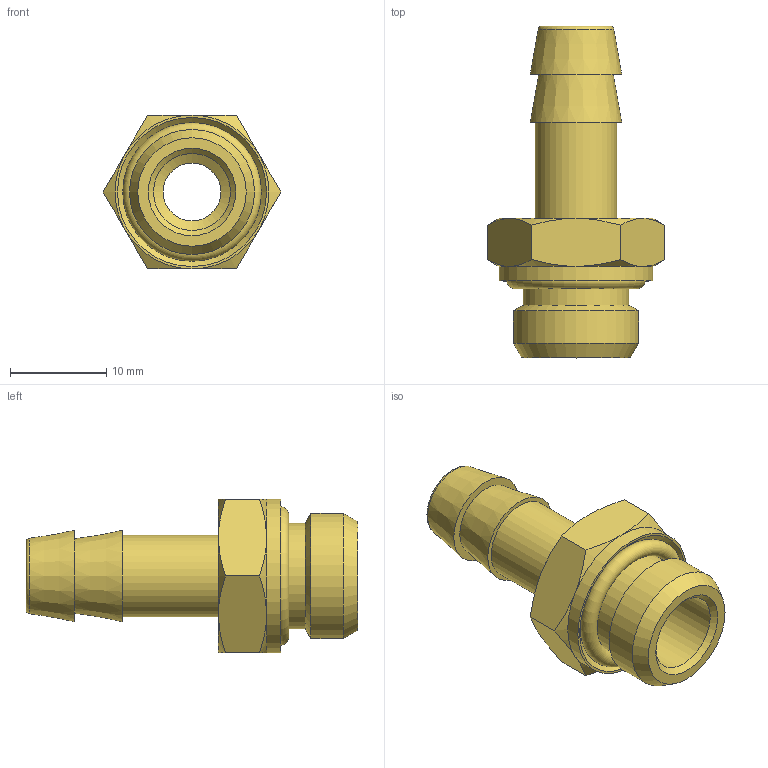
import cadquery as cq
import math


thread_radius = 6.5
thread_lead_length = 1.5
thread_lead_angle = 30.0
thread_top = 4.9
runout_angle = 60.0
groove_radius = 5.5

across_flats = 16.0
collar_length = 1.5
hex_length = 5.0
hex_bottom = 9.5
hex_top = hex_bottom + hex_length
collar_radius = across_flats / 2
collar_face = hex_bottom - collar_length
hex_chamfer_angle = 30.0

shank_radius = 4.25
shank_length = 10.0
barb_radius = 4.75
barb_length = 5.0
barb_count = 2
barb_angle = 10.0
tip_fillet = 0.4
tail_end = hex_top + shank_length + barb_count * barb_length

bore_radius = 3.0
socket_radius = 4.0
socket_mouth_radius = 4.55
socket_mouth_angle = 45.0
socket_depth = 12.0
drill_point_half_angle = 59.0

seal_cord_radius = 0.85
seal_front = 7.2
seal_ring_radius = groove_radius + seal_cord_radius
recess_mouth_radius = 7.75
recess_wall_angle = 45.0
recess_floor = seal_front + 2 * seal_cord_radius


def tangent(angle):
    return math.tan(math.radians(angle))


def revolve_about_y(profile):
    """Full turn of a closed (radius, Y) profile about the Y axis."""
    return profile.close().revolve(360, (0, 0, 0), (0, 1, 0))


def make_hexagon():
    """Hexagon with two faces square to Z and conical chamfers on both ends."""
    corner_radius = across_flats / math.sqrt(3)
    prism = (
        cq.Workplane("XZ", origin=(0, hex_top, 0))
        .polygon(6, 2 * corner_radius)
        .extrude(hex_length)
    )
    chamfer_length = (corner_radius - collar_radius) * tangent(hex_chamfer_angle)
    chamfer_envelope = revolve_about_y(
        cq.Workplane("XY")
        .moveTo(0, hex_bottom)
        .lineTo(collar_radius, hex_bottom)
        .lineTo(corner_radius, hex_bottom + chamfer_length)
        .lineTo(corner_radius, hex_top - chamfer_length)
        .lineTo(collar_radius, hex_top)
        .lineTo(0, hex_top)
    )
    return prism.intersect(chamfer_envelope)


def make_threaded_end():
    """Thread, undercut groove and collar with the conical seal recess."""
    lead_radius = thread_radius - thread_lead_length * tangent(thread_lead_angle)
    runout_length = (thread_radius - groove_radius) / tangent(runout_angle)
    recess_depth = recess_floor - collar_face
    recess_floor_radius = recess_mouth_radius - recess_depth * tangent(recess_wall_angle)
    return revolve_about_y(
        cq.Workplane("XY")
        .moveTo(0, 0)
        .lineTo(lead_radius, 0)
        .lineTo(thread_radius, thread_lead_length)
        .lineTo(thread_radius, thread_top)
        .lineTo(groove_radius, thread_top + runout_length)
        .lineTo(groove_radius, recess_floor)
        .lineTo(recess_floor_radius, recess_floor)
        .lineTo(recess_mouth_radius, collar_face)
        .lineTo(collar_radius, collar_face)
        .lineTo(collar_radius, hex_bottom)
        .lineTo(0, hex_bottom)
    )


def make_hose_tail():
    """Plain shank followed by tapered barbs, with a rounded edge at the tip."""
    barb_small_radius = barb_radius - barb_length * tangent(barb_angle)
    profile = cq.Workplane("XY").moveTo(0, hex_top).lineTo(shank_radius, hex_top)
    for index in range(barb_count):
        barb_start = hex_top + shank_length + index * barb_length
        inner_radius = shank_radius if index == 0 else barb_small_radius
        profile = profile.lineTo(inner_radius, barb_start).lineTo(barb_radius, barb_start)
    profile = profile.lineTo(barb_small_radius, tail_end).lineTo(0, tail_end)
    return revolve_about_y(profile).faces(">Y").edges().fillet(tip_fillet)


def make_bore():
    """Through bore with a wider chamfered, drill-pointed socket in the threaded end."""
    mouth_length = (socket_mouth_radius - socket_radius) / tangent(socket_mouth_angle)
    cone_length = (socket_radius - bore_radius) / tangent(drill_point_half_angle)
    return revolve_about_y(
        cq.Workplane("XY")
        .moveTo(0, 0)
        .lineTo(socket_mouth_radius, 0)
        .lineTo(socket_radius, mouth_length)
        .lineTo(socket_radius, socket_depth)
        .lineTo(bore_radius, socket_depth + cone_length)
        .lineTo(bore_radius, tail_end)
        .lineTo(0, tail_end)
    )


def make_seal():
    """O-ring hugging the groove and resting on the floor of the collar recess."""
    return (
        cq.Workplane("XY")
        .center(seal_ring_radius, seal_front + seal_cord_radius)
        .circle(seal_cord_radius)
        .revolve(360, (-seal_ring_radius, 0, 0), (-seal_ring_radius, 1, 0))
    )


fitting = make_threaded_end().union(make_hexagon()).union(make_hose_tail()).cut(make_bore())
seal = make_seal()

result = cq.Compound.makeCompound([fitting.solids().val(), seal.solids().val()])